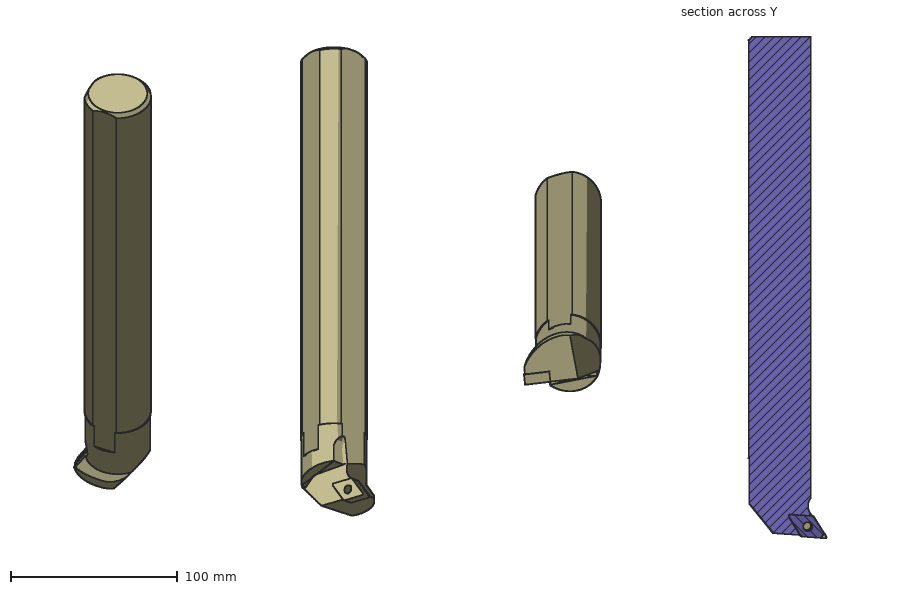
import cadquery as cq
import math


BAR_TOP = 301.25
SHANK_RADIUS = 20.0
NECK_RADIUS = 19.6
SHANK_BOTTOM = 48.2
TOP_CHAMFER = 2.3
SIDE_FLAT_X = -17.5
SIDE_FLAT_BOTTOM = 19.0
CLAMP_FLAT_Y = 18.4
CLAMP_FLAT_BOTTOM = 32.3
MARGIN = 30.0

FLARE_TOP = 15.2
FLARE_BOTTOM = -2.0
FLARE_ANGLE = math.radians(31)
HEAD_REACH = 22.34
HEAD_LEFT_RADIUS = 30.0
HEAD_RIGHT_RADIUS = 17.0
HEAD_BACK_Y = 15.0
HEEL_LOW = (4.3, 2.0)
HEEL_HIGH = (NECK_RADIUS, 20.9)

INSCRIBED_DIAMETER = 12.7
NOSE_ANGLE = math.radians(55)
INSERT_THICKNESS = 6.35
INSERT_HOLE_DIAMETER = 5.16
NOSE_RADIUS = 0.8
INSERT_SIDE = INSCRIBED_DIAMETER / math.sin(NOSE_ANGLE)
SHARP_CORNER = (-27.54, 0.4, -0.08)
FLANK_RECESS = 0.6
LOWER_EDGE_RECESS = 0.85
CLEARANCE_OVERRUN = 1.0

RAKE_RISE_X = 0.162
RAKE_RISE_Z = 0.115
EDGE_TILT = math.tan(math.radians(3))
INTO_HOLDER = cq.Vector(RAKE_RISE_X, -1, RAKE_RISE_Z)
LOWER_EDGE = cq.Vector(1, RAKE_RISE_X + RAKE_RISE_Z * EDGE_TILT, EDGE_TILT)
RAKE_PLANE = cq.Plane(origin=SHARP_CORNER, xDir=LOWER_EDGE, normal=INTO_HOLDER)

POCKET_WALL_X = -14.5
POCKET_WALL_BOTTOM = 23.2
POCKET_WALL_TOP = 31.6
POCKET_RUNOUT_RADIUS = 13.6
POCKET_RUNOUT_ANGLE = math.radians(48)
POCKET_ROOF_SLOPE = math.tan(math.radians(10.7))
POCKET_FILLET = 1.5

ROOF_SLOT_SIDE_Y = 12.7
ROOF_SLOT_TOP_X = 8.0
ROOF_SLOT_END_X = 15.0

GULLET_RADIUS = 8.0
GULLET_CENTER = (-24.2, 2.0, 19.2)


def make_bar():
    neck = cq.Workplane().workplane(offset=FLARE_TOP).circle(NECK_RADIUS).extrude(SHANK_BOTTOM - FLARE_TOP)
    shank = cq.Workplane().workplane(offset=SHANK_BOTTOM).circle(SHANK_RADIUS).extrude(BAR_TOP - SHANK_BOTTOM)
    return neck.union(shank.faces(">Z").chamfer(TOP_CHAMFER))


def make_side_flat_cut():
    height = BAR_TOP - SIDE_FLAT_BOTTOM
    cut = cq.Workplane().box(MARGIN, 2 * MARGIN, height, centered=(False, True, False))
    return cut.translate((SIDE_FLAT_X - MARGIN, 0, SIDE_FLAT_BOTTOM))


def make_clamp_flat_cut(side):
    height = BAR_TOP - CLAMP_FLAT_BOTTOM
    cut = cq.Workplane().box(2 * MARGIN, MARGIN, height, centered=(True, True, False))
    return cut.translate((0, side * (CLAMP_FLAT_Y + MARGIN / 2), CLAMP_FLAT_BOTTOM))


def make_head():
    height = FLARE_TOP - FLARE_BOTTOM
    bottom_radius = NECK_RADIUS + height * math.tan(FLARE_ANGLE)
    flare = cq.Workplane(cq.Solid.makeCone(bottom_radius, NECK_RADIUS, height, cq.Vector(0, 0, FLARE_BOTTOM)))
    outline = (
        cq.Workplane()
        .workplane(offset=FLARE_BOTTOM)
        .moveTo(-HEAD_LEFT_RADIUS, HEAD_BACK_Y)
        .lineTo(-HEAD_LEFT_RADIUS, HEAD_LEFT_RADIUS - HEAD_REACH)
        .radiusArc((0, -HEAD_REACH), -HEAD_LEFT_RADIUS)
        .radiusArc((HEAD_RIGHT_RADIUS, HEAD_RIGHT_RADIUS - HEAD_REACH), -HEAD_RIGHT_RADIUS)
        .lineTo(HEAD_RIGHT_RADIUS, HEAD_BACK_Y)
        .close()
        .extrude(height)
    )
    return flare.intersect(outline)


def make_heel_cut():
    slope = (HEEL_HIGH[0] - HEEL_LOW[0]) / (HEEL_HIGH[1] - HEEL_LOW[1])
    low_end = (HEEL_LOW[0] - MARGIN * slope, HEEL_LOW[1] - MARGIN)
    high_end = (HEEL_HIGH[0] + MARGIN * slope, HEEL_HIGH[1] + MARGIN)
    corner = (high_end[0], low_end[1])
    return cq.Workplane("XZ").polyline([low_end, high_end, corner]).close().extrude(MARGIN, both=True)


def make_space_above_rake():
    return cq.Workplane(RAKE_PLANE).rect(8 * MARGIN, 8 * MARGIN).extrude(-2 * MARGIN)


def make_chip_pocket():
    left = -2 * MARGIN
    bottom = -MARGIN
    right = MARGIN
    roof_right = POCKET_WALL_BOTTOM - (right - POCKET_WALL_X) * POCKET_ROOF_SLOPE

    def runout(angle):
        x = POCKET_WALL_X - POCKET_RUNOUT_RADIUS * (1 - math.cos(angle))
        return (x, POCKET_WALL_TOP + POCKET_RUNOUT_RADIUS * math.sin(angle))

    end = runout(POCKET_RUNOUT_ANGLE)
    profile = (
        cq.Workplane("XZ")
        .moveTo(left, bottom)
        .lineTo(right, bottom)
        .lineTo(right, roof_right)
        .lineTo(POCKET_WALL_X, POCKET_WALL_BOTTOM)
        .lineTo(POCKET_WALL_X, POCKET_WALL_TOP)
        .threePointArc(runout(POCKET_RUNOUT_ANGLE / 2), end)
        .lineTo(left, end[1])
        .close()
        .extrude(2 * MARGIN, both=True)
    )
    pocket = profile.intersect(make_space_above_rake())
    wall_foot = (POCKET_WALL_X, 0, (POCKET_WALL_BOTTOM + POCKET_WALL_TOP) / 2)
    return pocket.edges(cq.selectors.NearestToPointSelector(wall_foot)).fillet(POCKET_FILLET)


def make_roof_slot():
    end_z = POCKET_WALL_BOTTOM - (ROOF_SLOT_END_X - POCKET_WALL_X) * POCKET_ROOF_SLOPE
    profile = [
        (POCKET_WALL_X, end_z),
        (POCKET_WALL_X, POCKET_WALL_BOTTOM),
        (ROOF_SLOT_TOP_X, POCKET_WALL_BOTTOM),
        (ROOF_SLOT_END_X, end_z),
    ]
    slot = cq.Workplane("XZ", origin=(0, ROOF_SLOT_SIDE_Y, 0)).polyline(profile).close().extrude(MARGIN)
    return slot.intersect(make_space_above_rake())


def make_gullet():
    plane = cq.Plane(origin=GULLET_CENTER, xDir=LOWER_EDGE, normal=INTO_HOLDER)
    return cq.Workplane(plane).circle(GULLET_RADIUS).extrude(MARGIN, both=True)


def make_edge_clearance():
    """Trims the holder parallel to the two cutting edges, just inside them."""
    along_flank = (math.cos(NOSE_ANGLE), math.sin(NOSE_ANGLE))
    corner_x = (FLANK_RECESS + LOWER_EDGE_RECESS * math.cos(NOSE_ANGLE)) / math.sin(NOSE_ANGLE)
    corner = (corner_x, LOWER_EDGE_RECESS)
    flank_length = INSERT_SIDE + CLEARANCE_OVERRUN
    flank_top = (corner[0] + flank_length * along_flank[0], corner[1] + flank_length * along_flank[1])
    return (
        cq.Workplane(RAKE_PLANE)
        .moveTo(*flank_top)
        .lineTo(*corner)
        .lineTo(2 * MARGIN, LOWER_EDGE_RECESS)
        .lineTo(2 * MARGIN, -MARGIN)
        .lineTo(-MARGIN, -MARGIN)
        .lineTo(-MARGIN, flank_top[1])
        .close()
        .extrude(MARGIN, both=True)
    )


def make_insert_blank():
    run = INSERT_SIDE * math.cos(NOSE_ANGLE)
    rise = INSERT_SIDE * math.sin(NOSE_ANGLE)
    corners = [(0, 0), (INSERT_SIDE, 0), (INSERT_SIDE + run, rise), (run, rise)]
    blank = cq.Workplane(RAKE_PLANE).polyline(corners).close().extrude(INSERT_THICKNESS)
    return blank.edges(cq.selectors.ParallelDirSelector(INTO_HOLDER)).fillet(NOSE_RADIUS)


def make_insert_hole():
    center_x = INSERT_SIDE * (1 + math.cos(NOSE_ANGLE)) / 2
    center_y = INSCRIBED_DIAMETER / 2
    hole = cq.Workplane(RAKE_PLANE).center(center_x, center_y).circle(INSERT_HOLE_DIAMETER / 2)
    return hole.extrude(INSERT_THICKNESS)


insert_blank = make_insert_blank()
insert = insert_blank.cut(make_insert_hole())

holder = make_bar().cut(make_side_flat_cut())
for side in (-1, 1):
    holder = holder.cut(make_clamp_flat_cut(side))
holder = holder.union(make_head())
holder = holder.cut(make_heel_cut())
holder = holder.cut(make_chip_pocket())
holder = holder.cut(make_roof_slot())
holder = holder.cut(make_gullet())
holder = holder.cut(make_edge_clearance())
holder = holder.cut(insert_blank)

result = cq.Compound.makeCompound([holder.val(), insert.val()])